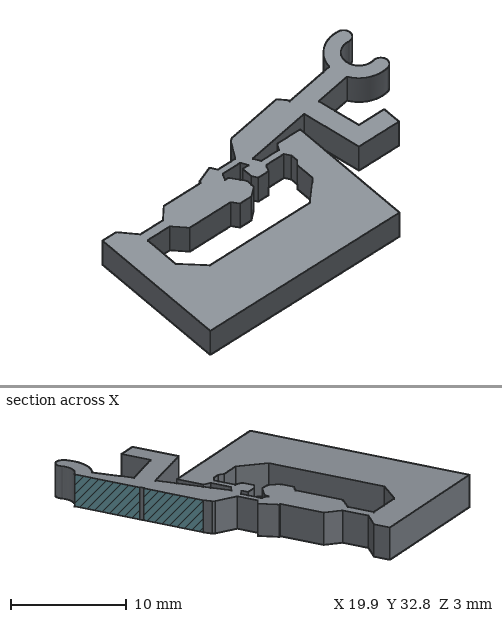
import cadquery as cq
import math

thickness = 3.0

frame_right = 14.25
frame_top = 21.65
foot_height = 1.57
jaw_left = 1.1
jaw_bottom = 19.0
window_right = 8.3
window_bottom = 2.98
window_top = 18.65
window_chamfer_x = 2.05
window_chamfer_y = 2.13
relief_left = 2.98
relief_right = 3.77
relief_runout = 0.43

lower_link_left = 1.57
lower_link_right = 2.52
lower_link_top = 5.55
thin_link_width = 0.65
upper_link_left = 1.77
upper_link_right = upper_link_left + thin_link_width
upper_link_bottom = 16.62
middle_link_left = 0.1
middle_link_right = middle_link_left + thin_link_width
middle_link_bottom = 13.1
middle_link_top = 15.1

body_left = 0.33
body_right = 3.77
body_shoulder = 6.72
head_right = 4.43
head_top = 14.13
head_flat_left = 2.75
head_flat_right = 3.67
head_side_bottom = 11.9
head_side_top = 13.2
head_underside = 11.4
pocket_bottom = 12.75
pocket_top = 13.15
spur_tip = (-0.55, 12.72)
spur_root = (0.13, 10.98)

tilt = math.radians(9.4)
lean = math.tan(tilt)
lever_heel = (-1.97, 16.45)
heel_corner = (-1.8, 16.23)
lever_right_foot = (1.08, 16.23)
lever_step_bottom = 22.45
lever_step_top = 23.15
step_ledge = 0.15
handle_width = 1.97

block_right = 3.1
block_left = 1.45
block_bottom = 14.8
block_flat_right = 2.55
block_notch_top = 15.47
block_side_top = 16.3

arm_root_bottom = 23.1
arm_root_top = 25.05
arm_inner = 4.03
arm_inner_height = 25.83
arm_outer = 6.0
arm_outer_height = 24.13
arm_top = 28.7

fork_center = (-2.52, 31.5)
fork_inner_radius = 1.57
fork_outer_radius = 3.08
fork_middle_radius = (fork_inner_radius + fork_outer_radius) / 2
fork_left_angle = 174
fork_right_angle = 13
fork_bottom_angle = 270


def plate(points):
    return cq.Workplane("XY").polyline(points).close().extrude(thickness)


def leaning_x(foot, height):
    """X of a lever edge through foot, at the given height."""
    return foot[0] - (height - foot[1]) * lean


def fork_point(radius, angle):
    turn = math.radians(angle)
    return (
        fork_center[0] + radius * math.cos(turn),
        fork_center[1] + radius * math.sin(turn),
    )


def make_frame():
    chamfer_left = window_right - window_chamfer_x
    return plate([
        (0, 0),
        (frame_right, 0),
        (frame_right, frame_top),
        (jaw_left, frame_top),
        (jaw_left, jaw_bottom),
        (upper_link_left, window_top),
        (upper_link_right, window_top),
        (relief_left, jaw_bottom),
        (relief_right, jaw_bottom),
        (relief_right + relief_runout, window_top),
        (chamfer_left, window_top),
        (window_right, window_top - window_chamfer_y),
        (window_right, window_bottom + window_chamfer_y),
        (chamfer_left, window_bottom),
        (lower_link_left, window_bottom),
        (0, foot_height),
    ])


def make_link(left, right, bottom, top):
    return plate([(left, bottom), (right, bottom), (right, top), (left, top)])


def make_body():
    return plate([
        (lower_link_left, lower_link_top),
        (lower_link_right, lower_link_top),
        (body_right, body_shoulder),
        (body_right, head_underside),
        (head_right, head_side_bottom),
        (head_right, head_side_top),
        (head_flat_right, head_top),
        (head_flat_left, head_top),
        (block_left, pocket_top),
        (block_left, pocket_bottom),
        (middle_link_right, middle_link_bottom),
        (middle_link_left, middle_link_bottom),
        spur_tip,
        spur_root,
        (body_left, spur_root[1]),
        (body_left, body_shoulder),
    ])


def make_lever():
    handle_top = fork_center[1] - fork_middle_radius
    handle_right_x = leaning_x(lever_right_foot, handle_top)
    step_x = leaning_x(lever_right_foot, lever_step_top) - handle_width
    return plate([
        (middle_link_left, middle_link_top),
        (middle_link_right, middle_link_top),
        (block_left, block_notch_top),
        (block_left, block_bottom),
        (block_flat_right, block_bottom),
        (block_right, middle_link_top),
        (block_right, block_side_top),
        (upper_link_right, upper_link_bottom),
        (upper_link_left, upper_link_bottom),
        lever_right_foot,
        (leaning_x(lever_right_foot, arm_root_bottom), arm_root_bottom),
        (arm_outer, arm_outer_height),
        (arm_outer, arm_top),
        (arm_inner, arm_top),
        (arm_inner, arm_inner_height),
        (leaning_x(lever_right_foot, arm_root_top), arm_root_top),
        (handle_right_x, handle_top),
        (handle_right_x - handle_width, handle_top),
        (step_x, lever_step_top),
        (step_x - step_ledge, lever_step_top),
        (leaning_x(lever_heel, lever_step_bottom), lever_step_bottom),
        lever_heel,
        heel_corner,
    ])


def make_fork():
    tip_radius = (fork_outer_radius - fork_inner_radius) / 2

    def tip(angle, turn):
        x, y = fork_point(fork_middle_radius, angle)
        side = math.radians(angle + turn)
        return (x + tip_radius * math.cos(side), y + tip_radius * math.sin(side))

    return (
        cq.Workplane("XY")
        .moveTo(*fork_point(fork_outer_radius, fork_left_angle))
        .threePointArc(
            fork_point(fork_outer_radius, fork_bottom_angle),
            fork_point(fork_outer_radius, fork_right_angle),
        )
        .threePointArc(tip(fork_right_angle, 90), fork_point(fork_inner_radius, fork_right_angle))
        .threePointArc(
            fork_point(fork_inner_radius, fork_bottom_angle),
            fork_point(fork_inner_radius, fork_left_angle),
        )
        .threePointArc(tip(fork_left_angle, -90), fork_point(fork_outer_radius, fork_left_angle))
        .close()
        .extrude(thickness)
    )


result = (
    make_frame()
    .union(make_link(lower_link_left, lower_link_right, window_bottom, lower_link_top))
    .union(make_body())
    .union(make_link(middle_link_left, middle_link_right, middle_link_bottom, middle_link_top))
    .union(make_lever())
    .union(make_link(upper_link_left, upper_link_right, upper_link_bottom, window_top))
    .union(make_fork())
    .clean()
)